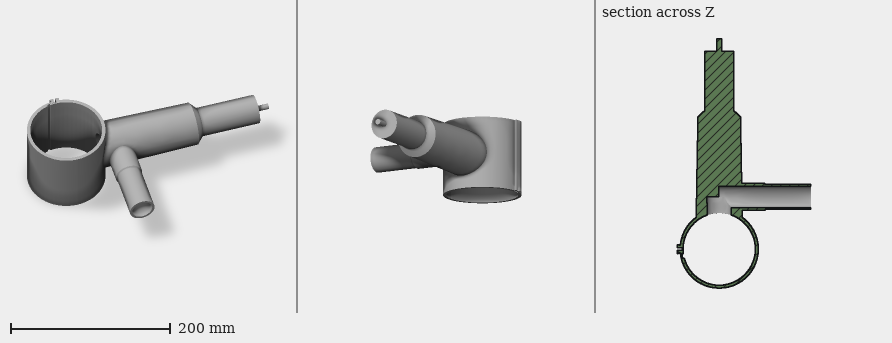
import cadquery as cq
import math

RING_INNER_RADIUS = 45.0
RING_OUTER_RADIUS = 49.25
RING_HEIGHT = 90.0
SPLIT_ANGLE = 180.0
GAP_HALF_ANGLE = 1.5
LUG_TIP_HALF_ANGLE = 6.75
LUG_ROOT_HALF_ANGLE = 5.5
LUG_RADIUS = 53.0
CUT_MARGIN = 1.0

TONGUE_OUTER_RADIUS = 46.6
TONGUE_END_ANGLE = 9.5
RECESS_OUTER_RADIUS = 46.9
RECESS_END_ANGLE = 14.0

ARM_BASE_Y = 38.0
ARM_BASE_RADIUS = 29.2
ARM_TAPER_END_Y = 165.5
ARM_TAPER_END_RADIUS = 27.0
GRIP_START_Y = 173.5
GRIP_END_Y = 248.0
GRIP_RADIUS = 18.25
PIN_END_Y = 263.87
PIN_RADIUS = 3.5

SIDE_TUBE_Y = 65.25
COLLAR_RADIUS = 17.25
COLLAR_END_X = 56.5
SIDE_TUBE_START_X = 58.0
SIDE_TUBE_END_X = 115.0
SIDE_TUBE_RADIUS = 16.0

ARM_BORE_RADIUS = 15.0
SIDE_BORE_RADIUS = 13.0


def polar_point(radius, angle):
    """Point at a radius and an angle in degrees about the ring axis."""
    turn = math.radians(angle)
    return (radius * math.cos(turn), radius * math.sin(turn))


def ring_sector(inner_radius, outer_radius, start_angle, end_angle):
    """Full-height piece of a ring between two angles."""
    middle_angle = (start_angle + end_angle) / 2
    return (
        cq.Workplane("XY", origin=(0, 0, -RING_HEIGHT / 2))
        .moveTo(*polar_point(inner_radius, start_angle))
        .lineTo(*polar_point(outer_radius, start_angle))
        .threePointArc(polar_point(outer_radius, middle_angle), polar_point(outer_radius, end_angle))
        .lineTo(*polar_point(inner_radius, end_angle))
        .threePointArc(polar_point(inner_radius, middle_angle), polar_point(inner_radius, start_angle))
        .close()
        .extrude(RING_HEIGHT)
    )


def cylinder_z(radius):
    """Full-height cylinder on the ring axis."""
    return cq.Workplane("XY").cylinder(RING_HEIGHT, radius)


def make_arm():
    """Tapered arm with a conical shoulder, a round grip and an end pin."""
    profile = [
        (0, ARM_BASE_Y),
        (ARM_BASE_RADIUS, ARM_BASE_Y),
        (ARM_TAPER_END_RADIUS, ARM_TAPER_END_Y),
        (GRIP_RADIUS, GRIP_START_Y),
        (GRIP_RADIUS, GRIP_END_Y),
        (PIN_RADIUS, GRIP_END_Y),
        (PIN_RADIUS, PIN_END_Y),
        (0, PIN_END_Y),
    ]
    return cq.Workplane("XY").polyline(profile).close().revolve(360, (0, 0, 0), (0, 1, 0))


def make_side_tube():
    """Side tube with a chamfered collar, starting on the arm axis."""
    profile = [
        (0, SIDE_TUBE_Y),
        (0, SIDE_TUBE_Y + COLLAR_RADIUS),
        (COLLAR_END_X, SIDE_TUBE_Y + COLLAR_RADIUS),
        (SIDE_TUBE_START_X, SIDE_TUBE_Y + SIDE_TUBE_RADIUS),
        (SIDE_TUBE_END_X, SIDE_TUBE_Y + SIDE_TUBE_RADIUS),
        (SIDE_TUBE_END_X, SIDE_TUBE_Y),
    ]
    axis_start = (0, SIDE_TUBE_Y, 0)
    axis_end = (SIDE_TUBE_END_X, SIDE_TUBE_Y, 0)
    return cq.Workplane("XY").polyline(profile).close().revolve(360, axis_start, axis_end)


def make_passage():
    """Bore along the arm axis up to the side tube axis, meeting the bore of the side tube."""
    arm_bore = cq.Workplane("XZ").circle(ARM_BORE_RADIUS).extrude(-SIDE_TUBE_Y)
    side_bore = (
        cq.Workplane("YZ", origin=(0, SIDE_TUBE_Y, 0)).circle(SIDE_BORE_RADIUS).extrude(SIDE_TUBE_END_X)
    )
    return arm_bore.union(side_bore)


def make_lugs():
    """Block that flares outwards from the ring wall, later halved by the gap."""
    root_start = SPLIT_ANGLE - LUG_ROOT_HALF_ANGLE
    root_end = SPLIT_ANGLE + LUG_ROOT_HALF_ANGLE
    tip_start = SPLIT_ANGLE - LUG_TIP_HALF_ANGLE
    tip_end = SPLIT_ANGLE + LUG_TIP_HALF_ANGLE
    return (
        cq.Workplane("XY", origin=(0, 0, -RING_HEIGHT / 2))
        .moveTo(*polar_point(RECESS_OUTER_RADIUS, root_start))
        .lineTo(*polar_point(RING_OUTER_RADIUS, root_start))
        .lineTo(*polar_point(LUG_RADIUS, tip_start))
        .threePointArc(polar_point(LUG_RADIUS, SPLIT_ANGLE), polar_point(LUG_RADIUS, tip_end))
        .lineTo(*polar_point(RING_OUTER_RADIUS, root_end))
        .lineTo(*polar_point(RECESS_OUTER_RADIUS, root_end))
        .close()
        .extrude(RING_HEIGHT)
    )


def make_split():
    """Space removed from the ring: the gap between the lugs and the recess for the tongue."""
    gap_start = SPLIT_ANGLE - GAP_HALF_ANGLE
    gap_end = SPLIT_ANGLE + GAP_HALF_ANGLE
    recess_end = SPLIT_ANGLE + RECESS_END_ANGLE
    gap = ring_sector(TONGUE_OUTER_RADIUS, LUG_RADIUS + CUT_MARGIN, gap_start, gap_end)
    recess = ring_sector(RING_INNER_RADIUS - CUT_MARGIN, RECESS_OUTER_RADIUS, gap_end, recess_end)
    tongue_end = SPLIT_ANGLE + TONGUE_END_ANGLE
    tongue = ring_sector(RING_INNER_RADIUS - CUT_MARGIN, TONGUE_OUTER_RADIUS, gap_start, tongue_end)
    return gap.union(recess).cut(tongue)


body = cylinder_z(RING_OUTER_RADIUS).union(make_arm()).union(make_side_tube()).union(make_lugs())
body = body.cut(cylinder_z(RING_INNER_RADIUS)).cut(make_passage())
result = body.cut(make_split())